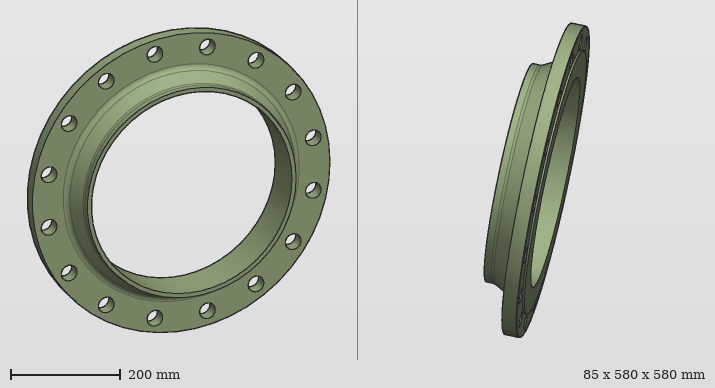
import cadquery as cq


overall_length = 85.0
face_height = 4.0
plate_back = 32.0
pipe_stub_length = 16.0
cone_end = overall_length - pipe_stub_length

flange_diameter = 580.0
face_diameter = 490.0
hub_diameter = 445.5
pipe_diameter = 406.5
bore_diameter = 390.5

rim_chamfer = 1.0
hub_fillet = 12.0

bolt_count = 16
bolt_hole_diameter = 30.0
bolt_circle_diameter = 525.0
bolt_pitch_angle = 360 / bolt_count


def circle_at(x, diameter):
    """Select the circular edge of at most the given diameter at axial position x."""
    margin = 0.3
    radius = diameter / 2 + margin
    return cq.selectors.BoxSelector(
        (x - margin, -radius, -radius), (x + margin, radius, radius), boundingbox=True
    )


def make_body():
    """Revolve the half section: axial position along X, radius along Y."""
    section = (
        cq.Workplane("XY")
        .moveTo(0, bore_diameter / 2)
        .lineTo(0, face_diameter / 2)
        .lineTo(face_height, face_diameter / 2)
        .lineTo(face_height, flange_diameter / 2 - rim_chamfer)
        .lineTo(face_height + rim_chamfer, flange_diameter / 2)
        .lineTo(plate_back, flange_diameter / 2)
        .lineTo(plate_back, hub_diameter / 2)
        .lineTo(cone_end, pipe_diameter / 2)
        .lineTo(overall_length, pipe_diameter / 2)
        .lineTo(overall_length, bore_diameter / 2)
        .close()
    )
    return section.revolve(360, (0, 0, 0), (1, 0, 0))


def round_hub(body):
    """Blend the cone into the plate and into the pipe stub."""
    for x, diameter in ((plate_back, hub_diameter), (cone_end, pipe_diameter)):
        body = body.edges(circle_at(x, diameter)).fillet(hub_fillet)
    return body


def make_bolt_holes():
    """Cylinders through the plate, straddling the Y and Z axes."""
    return (
        cq.Workplane("YZ")
        .polarArray(bolt_circle_diameter / 2, bolt_pitch_angle / 2, 360, bolt_count)
        .circle(bolt_hole_diameter / 2)
        .extrude(plate_back)
    )


result = round_hub(make_body()).cut(make_bolt_holes())